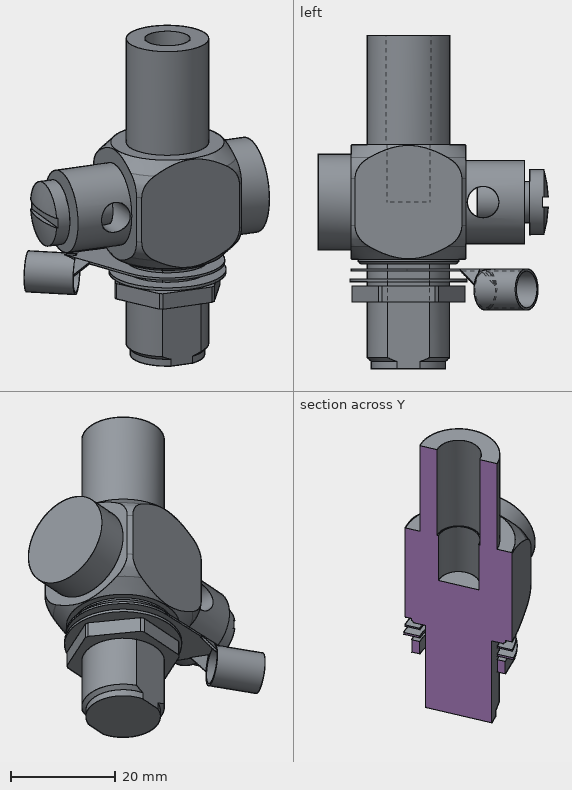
import cadquery as cq
import math

BODY_SIZE = 22.0
BODY_HALF = BODY_SIZE / 2
CORNER_RADIUS = 15.0
FACE_RADIUS = 10.9
CORNER_ROUND = 5.7

TUBE_RADIUS = 7.9
TUBE_TOP = 32.0
BORE_RADIUS = 4.35
BORE_BOTTOM = BODY_HALF
INNER_BORE_RADIUS = 4.1
INNER_BORE_BOTTOM = 0.0

BACK_BOSS_RADIUS = 9.2
BACK_BOSS_END = 17.3

CLAMP_RADIUS = 8.0
CLAMP_END = 22.25
WIRE_HOLE_RADIUS = 3.0
WIRE_HOLE_CENTRE = 14.3
SCREW_RADIUS = 3.95
SCREW_TIP = 13.2
HEAD_RADIUS = 6.25
HEAD_START = 23.2
HEAD_RIM = 25.95
HEAD_CROWN = 26.85
SLOT_WIDTH = 1.9
SLOT_FLOOR = 25.7

COLLAR_RADIUS = 9.65
COLLAR_HEIGHT = 0.9
COLLAR_CHAMFER = 0.5
STEM_RADIUS = TUBE_RADIUS
STEM_BOTTOM = -32.0
STEM_FLAT_WIDTH = 13.6
STEM_TIP_RADIUS = 7.15
STEM_TIP_LENGTH = 1.4
STEM_CHAMFER = STEM_RADIUS - STEM_TIP_RADIUS

WASHER_RADIUS = 11.25
WASHER_TOP = -14.7
WASHER_THICKNESS = 0.6
NUT_TOP = -16.05
NUT_HEIGHT = 3.15
NUT_ACROSS_FLATS = 19.2
NUT_CORNER_RADIUS = 10.9

LUG_TOP = -12.8
LUG_THICKNESS = 0.45
LUG_RADIUS = 11.0
LUG_ANGLE = -123.7
TAB_TIP = 20.7
BARREL_RADIUS = 3.95
BARREL_START = 17.7
BARREL_END = 27.25
TAB_SLOT_WIDTH = 0.95
WEB_FOOT_ANGLE = 75.0


def disc(radius, bottom, top):
    return cq.Workplane("XY").workplane(offset=bottom).circle(radius).extrude(top - bottom)


def ring(radius, bottom, top):
    """A disc with a round hole that fits the stem."""
    return disc(radius, bottom, top).cut(disc(STEM_RADIUS, bottom, top))


def front_cylinder(radius, start, end):
    """A cylinder along -Y between two distances in front of the body centre."""
    return cq.Workplane("XZ").workplane(offset=start).circle(radius).extrude(end - start)


def make_body():
    cube = cq.Workplane("XY").box(BODY_SIZE, BODY_SIZE, BODY_SIZE)
    turned = (
        disc(CORNER_RADIUS, -BODY_HALF, BODY_HALF)
        .faces("|Z").chamfer(CORNER_RADIUS - FACE_RADIUS)
    )
    shoulder_circles = turned.edges(cq.selectors.RadiusNthSelector(-1))
    turned = shoulder_circles.fillet(CORNER_ROUND)
    return cube.intersect(turned)


def make_clamp():
    boss = front_cylinder(CLAMP_RADIUS, BODY_HALF, CLAMP_END)
    wire_hole = (
        cq.Workplane("YZ").center(-WIRE_HOLE_CENTRE, 0)
        .circle(WIRE_HOLE_RADIUS).extrude(CLAMP_RADIUS, both=True)
    )
    return boss.cut(wire_hole)


def make_screw():
    crown_rise = HEAD_CROWN - HEAD_RIM
    crown_radius = (HEAD_RADIUS**2 + crown_rise**2) / (2 * crown_rise)
    half_angle = math.asin(HEAD_RADIUS / crown_radius) / 2
    crown_middle = (
        crown_radius * math.sin(half_angle),
        crown_radius * (1 - math.cos(half_angle)) - HEAD_CROWN,
    )
    profile = (
        cq.Workplane("XY")
        .moveTo(0, -SCREW_TIP)
        .lineTo(SCREW_RADIUS, -SCREW_TIP)
        .lineTo(SCREW_RADIUS, -HEAD_START)
        .lineTo(HEAD_RADIUS, -HEAD_START)
        .lineTo(HEAD_RADIUS, -HEAD_RIM)
        .threePointArc(crown_middle, (0, -HEAD_CROWN))
        .close()
    )
    screw = profile.revolve(360, (0, 0, 0), (0, 1, 0))
    slot = (
        cq.Workplane("XZ").workplane(offset=SLOT_FLOOR)
        .rect(2 * HEAD_RADIUS, SLOT_WIDTH).extrude(HEAD_CROWN - SLOT_FLOOR)
    )
    return screw.cut(slot)


def make_stem():
    collar = (
        disc(COLLAR_RADIUS, -BODY_HALF - COLLAR_HEIGHT, -BODY_HALF)
        .faces("<Z").chamfer(COLLAR_CHAMFER)
    )
    tip_top = STEM_BOTTOM + STEM_TIP_LENGTH
    shank = disc(STEM_RADIUS, tip_top, -BODY_HALF).faces("<Z").chamfer(STEM_CHAMFER)
    stem = shank.union(disc(STEM_TIP_RADIUS, STEM_BOTTOM, tip_top))
    flats = cq.Workplane("XY").box(STEM_FLAT_WIDTH, 2 * STEM_RADIUS, -2 * STEM_BOTTOM)
    return collar.union(stem.intersect(flats))


def make_nut():
    bottom = NUT_TOP - NUT_HEIGHT
    across_corners = NUT_ACROSS_FLATS / math.cos(math.pi / 6)
    hexagon = (
        cq.Workplane("XY").workplane(offset=bottom)
        .transformed(rotate=(0, 0, 90))
        .polygon(6, across_corners).extrude(NUT_HEIGHT)
    )
    return hexagon.intersect(ring(NUT_CORNER_RADIUS, bottom, NUT_TOP))


def make_web(side, tab_half_angle, barrel_axis):
    """A thin triangle folded from the tab edge, where the tab is barrel-wide, to the barrel flank."""
    def on_tab_edge(along):
        across = (TAB_TIP - along) * math.tan(tab_half_angle)
        return cq.Vector(along, side * across, LUG_TOP)

    foot_angle = math.radians(WEB_FOOT_ANGLE)
    foot = cq.Vector(
        BARREL_START,
        side * BARREL_RADIUS * math.sin(foot_angle),
        barrel_axis + BARREL_RADIUS * math.cos(foot_angle),
    )
    start = on_tab_edge(TAB_TIP - BARREL_RADIUS / math.tan(tab_half_angle))
    end = on_tab_edge(BARREL_START)
    normal = (end - start).cross(foot - start)
    inward = normal.normalized() * (-side * LUG_THICKNESS)
    outline = cq.Wire.makePolygon([start, end, foot], close=True)
    return cq.Workplane(cq.Solid.extrudeLinear(outline, [], inward))


def make_lug():
    """The lug is shaped pointing along +X, then turned to its place about Z."""
    bottom = LUG_TOP - LUG_THICKNESS
    barrel_axis = LUG_TOP - BARREL_RADIUS
    tab_half_angle = math.asin(LUG_RADIUS / TAB_TIP)
    tangent_x = LUG_RADIUS * math.sin(tab_half_angle)
    tangent_y = LUG_RADIUS * math.cos(tab_half_angle)

    tab = (
        cq.Workplane("XY").workplane(offset=bottom)
        .polyline([(tangent_x, -tangent_y), (TAB_TIP, 0), (tangent_x, tangent_y)])
        .close().extrude(LUG_THICKNESS)
    )
    tab_slot = (
        cq.Workplane("XY").workplane(offset=bottom)
        .center((BARREL_START + TAB_TIP) / 2, 0)
        .rect(TAB_TIP - BARREL_START, TAB_SLOT_WIDTH).extrude(LUG_THICKNESS)
    )
    plate = disc(LUG_RADIUS, bottom, LUG_TOP).union(tab).cut(tab_slot)
    plate = plate.cut(disc(STEM_RADIUS, bottom, LUG_TOP))

    barrel = (
        cq.Workplane("YZ").workplane(offset=BARREL_START)
        .center(0, barrel_axis)
        .circle(BARREL_RADIUS).circle(BARREL_RADIUS - LUG_THICKNESS)
        .extrude(BARREL_END - BARREL_START)
    )
    lug = plate.union(barrel)
    for side in (-1, 1):
        lug = lug.union(make_web(side, tab_half_angle, barrel_axis))
    return lug.rotate((0, 0, 0), (0, 0, 1), LUG_ANGLE)


result = (
    make_body()
    .union(disc(TUBE_RADIUS, BODY_HALF, TUBE_TOP))
    .cut(disc(BORE_RADIUS, BORE_BOTTOM, TUBE_TOP))
    .cut(disc(INNER_BORE_RADIUS, INNER_BORE_BOTTOM, BORE_BOTTOM))
    .union(front_cylinder(BACK_BOSS_RADIUS, -BACK_BOSS_END, -BODY_HALF))
    .union(make_clamp())
    .union(make_screw())
    .union(make_stem())
    .union(ring(WASHER_RADIUS, WASHER_TOP - WASHER_THICKNESS, WASHER_TOP))
    .union(make_nut())
    .union(make_lug())
)